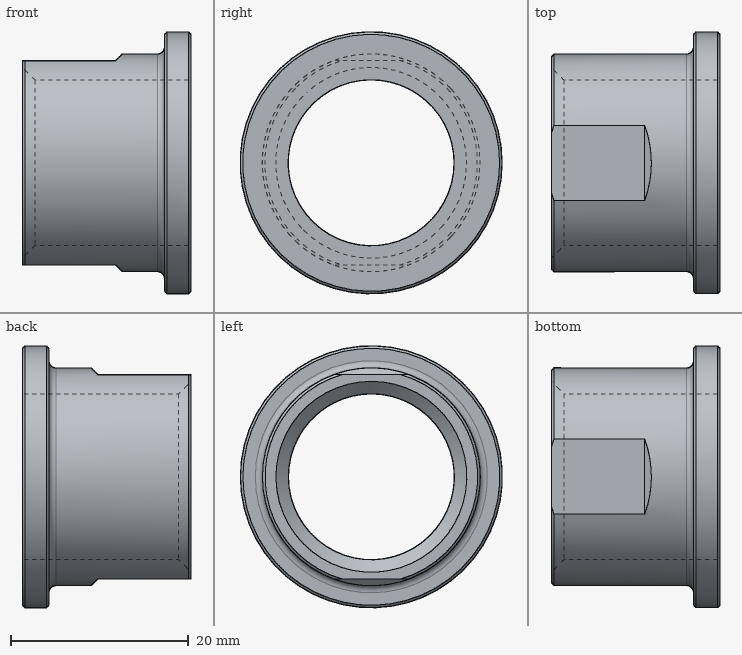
import cadquery as cq

length = 19.0
flange_diameter = 29.5
flange_thickness = 3.0
body_diameter = 24.5
bore_diameter = 18.65

edge_chamfer = 0.3
root_fillet = 0.8
bore_mouth_diameter = 21.48
bore_mouth_depth = (bore_mouth_diameter - bore_diameter) / 2

across_flats = 23.0
flat_length = 10.5

front_x = -length / 2
back_x = length / 2
flange_x = back_x - flange_thickness


def make_bushing():
    """Flanged sleeve with a filleted root and a countersunk through bore."""
    body = (
        cq.Workplane("YZ", origin=(front_x, 0, 0))
        .circle(body_diameter / 2)
        .extrude(length)
        .faces("<X")
        .chamfer(edge_chamfer)
    )
    flange = (
        cq.Workplane("YZ", origin=(flange_x, 0, 0))
        .circle(flange_diameter / 2)
        .extrude(flange_thickness)
        .edges()
        .chamfer(edge_chamfer)
    )
    innermost_circle = cq.selectors.RadiusNthSelector(0)
    sleeve = body.union(flange)
    sleeve = sleeve.faces("<X[1]").edges(innermost_circle).fillet(root_fillet)
    bore = cq.Workplane("YZ", origin=(front_x, 0, 0)).circle(bore_diameter / 2).extrude(length)
    countersink = cq.Workplane("XY").add(
        cq.Solid.makeCone(
            bore_mouth_diameter / 2,
            bore_diameter / 2,
            bore_mouth_depth,
            cq.Vector(front_x, 0, 0),
            cq.Vector(1, 0, 0),
        )
    )
    return sleeve.cut(bore).cut(countersink)


def make_flat_cutter():
    """Block above the upper flat, ending in a 45 degree run-out."""
    flat_z = across_flats / 2
    flat_end_x = front_x + flat_length
    cutter_height = flange_diameter / 2 - flat_z
    return (
        cq.Workplane("XZ")
        .moveTo(front_x, flat_z)
        .lineTo(flat_end_x, flat_z)
        .lineTo(flat_end_x + cutter_height, flat_z + cutter_height)
        .lineTo(front_x, flat_z + cutter_height)
        .close()
        .extrude(body_diameter / 2, both=True)
    )


upper_cutter = make_flat_cutter()
lower_cutter = upper_cutter.mirror("XY")
result = make_bushing().cut(upper_cutter).cut(lower_cutter)